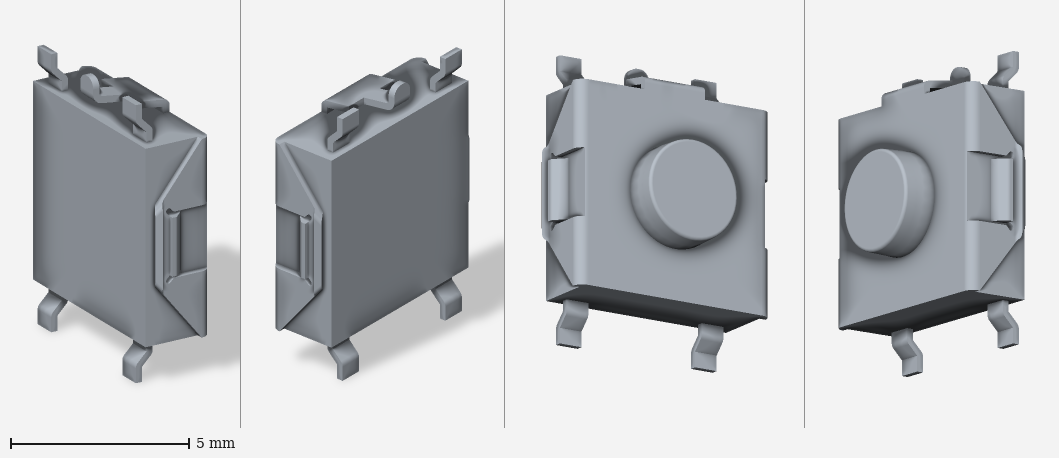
import cadquery as cq
import math


HOUSING_SIZE = 6.0
COVER_TOP = 2.03
SHEET = 0.21
HOUSING_TOP = COVER_TOP - SHEET
HALF = HOUSING_SIZE / 2
BEND_INNER = 0.1
BEND_OUTER = BEND_INNER + SHEET

WIDTH_OVER_LIPS = 6.7
LIP_X = WIDTH_OVER_LIPS / 2
WEDGE_LENGTH = 1.78
WEDGE_BOTTOM = 0.66
WEDGE_TOP = 1.17
WEDGE_RAMP_END = WEDGE_TOP - (LIP_X - HALF)
WEDGE_RADIUS = 0.135

WALL_X = HALF + SHEET
LIP_TIP_Y = 0.345
LIP_ANGLE = math.radians(30)
LIP_BEND = 0.11
LIP_CORNER = 0.13
TAPER_TOP = 1.72
TAPER_SLOPE = 1.24
WINDOW_LENGTH = 2.0
RELIEF_RADIUS = 0.08
RELIEF_Y = 0.63
RELIEF_Z = 1.05
RELIEF_LENGTH = 0.25

TOTAL_LENGTH = 8.4
END_Z = TOTAL_LENGTH / 2
FOOT_Y = -0.08
TAB_WIDTH = 2.0
TAB_NECK_WIDTH = 0.69
TAB_NECK_Y = 1.025
TAB_BEND_Z = 3.2
TAB_SLOPE = math.radians(8)
TAB_FOOT_BEND = 0.1
TAB_TIP_RADIUS = 0.3

LEAD_THICKNESS = 0.2
LEAD_WIDTH = 0.72
LEAD_X = 2.25
LEAD_EXIT_Y = 0.27
LEAD_KNEE_Z = 3.31

BUTTON_TOP = 3.015
BUTTON_BASE_RADIUS = 1.5
BUTTON_TOP_RADIUS = 1.46
BUTTON_EDGE = 0.09


def extrude_along_x(points, width):
    """Extrude a (y, z) outline along X, centred on x = 0."""
    return cq.Workplane("YZ").polyline(points).close().extrude(width / 2, both=True)


def extrude_along_z(points, length):
    """Extrude an (x, y) outline along Z, centred on z = 0."""
    return cq.Workplane("XY").polyline(points).close().extrude(length / 2, both=True)


def fillet_at(body, radius, *points):
    """Fillet the edges whose middles lie nearest to the given points."""
    for point in points:
        body = body.edges(cq.selectors.NearestToPointSelector(point)).fillet(radius)
    return body


def both_sides(half):
    """Join a half to its mirror image across the YZ plane."""
    return half.union(half.mirror("YZ"))


def make_wedge():
    """Snap wedge on the +X side with a ramp towards the top of the cover."""
    outline = [
        (HALF, WEDGE_BOTTOM),
        (LIP_X, WEDGE_BOTTOM),
        (LIP_X, WEDGE_RAMP_END),
        (HALF, WEDGE_TOP),
    ]
    wedge = extrude_along_z(outline, WEDGE_LENGTH)
    return fillet_at(wedge, WEDGE_RADIUS, (LIP_X, WEDGE_RAMP_END, 0))


def make_housing():
    block = cq.Workplane("XY").box(HOUSING_SIZE, HOUSING_TOP, HOUSING_SIZE, centered=(True, False, True))
    block = fillet_at(block, BEND_INNER, (HALF, HOUSING_TOP, 0), (-HALF, HOUSING_TOP, 0))
    return block.union(both_sides(make_wedge()))


def make_cover_side():
    """The +X half of the cover: flat top, side bend, wall and flared lip, tapered along Z."""
    reach = LIP_X - WALL_X
    bend_y = LIP_TIP_Y + reach * math.tan(LIP_ANGLE)
    edge_x = LIP_X - SHEET * math.sin(LIP_ANGLE)
    edge_y = LIP_TIP_Y - SHEET * math.cos(LIP_ANGLE)
    inner_y = edge_y + (edge_x - HALF) * math.tan(LIP_ANGLE)
    section = [
        (0, COVER_TOP),
        (WALL_X, COVER_TOP),
        (WALL_X, bend_y),
        (LIP_X, LIP_TIP_Y),
        (edge_x, edge_y),
        (HALF, inner_y),
        (HALF, HOUSING_TOP),
        (0, HOUSING_TOP),
    ]
    side = extrude_along_z(section, HOUSING_SIZE)
    side = fillet_at(side, BEND_OUTER, (WALL_X, COVER_TOP, 0))
    side = fillet_at(side, BEND_INNER, (HALF, HOUSING_TOP, 0))
    side = fillet_at(side, LIP_BEND, (WALL_X, bend_y, 0))

    tip_half = HALF - (TAPER_TOP - edge_y) * TAPER_SLOPE
    taper = [
        (COVER_TOP, HALF),
        (TAPER_TOP, HALF),
        (edge_y, tip_half),
        (edge_y, -tip_half),
        (TAPER_TOP, -HALF),
        (COVER_TOP, -HALF),
    ]
    side = side.intersect(extrude_along_x(taper, WIDTH_OVER_LIPS))
    middle_x = (LIP_X + edge_x) / 2
    middle_y = (LIP_TIP_Y + edge_y) / 2
    corner_z = HALF - (TAPER_TOP - middle_y) * TAPER_SLOPE
    return fillet_at(side, LIP_CORNER, (middle_x, middle_y, corner_z), (middle_x, middle_y, -corner_z))


def make_window():
    """Cutter for the +X wall: an opening over the wedge with a slanted relief slot at each corner."""
    height = COVER_TOP - WEDGE_BOTTOM
    depth = LIP_X - HALF
    window = cq.Workplane("XY").box(depth, height, WINDOW_LENGTH, centered=(False, False, True))
    window = window.translate((HALF, WEDGE_BOTTOM, 0))
    for side in (1, -1):
        setback = RELIEF_LENGTH / 2 * math.sin(math.radians(45))
        slot = (
            cq.Workplane("YZ", origin=(HALF, RELIEF_Y + setback, side * (RELIEF_Z - setback)))
            .slot2D(RELIEF_LENGTH + 2 * RELIEF_RADIUS, 2 * RELIEF_RADIUS, -45 * side)
            .extrude(depth)
        )
        window = window.union(slot)
    return window


def make_ground_tab():
    """Tab that leaves the cover's top at +Z, slants down past the housing and ends in a foot."""
    rise = math.tan(TAB_SLOPE)
    outer_bend_z = TAB_BEND_Z + SHEET / math.cos(TAB_SLOPE) - SHEET * rise
    foot_top = FOOT_Y + SHEET
    run = HOUSING_TOP - FOOT_Y
    lower_knee_z = TAB_BEND_Z + run * rise
    upper_knee_z = outer_bend_z + run * rise
    profile = [
        (HOUSING_TOP, HALF),
        (HOUSING_TOP, TAB_BEND_Z),
        (FOOT_Y, lower_knee_z),
        (FOOT_Y, END_Z),
        (foot_top, END_Z),
        (foot_top, upper_knee_z),
        (COVER_TOP, outer_bend_z),
        (COVER_TOP, HALF),
    ]
    tab = extrude_along_x(profile, TAB_WIDTH)
    tab = fillet_at(tab, SHEET, (0, COVER_TOP, outer_bend_z))
    tab = fillet_at(tab, TAB_FOOT_BEND, (0, foot_top, upper_knee_z))
    tab = fillet_at(tab, TAB_FOOT_BEND + SHEET, (0, FOOT_Y, lower_knee_z))

    shoulder = (TAB_WIDTH - TAB_NECK_WIDTH) / 2
    notch = cq.Workplane("XY").box(shoulder, TAB_NECK_Y - FOOT_Y, END_Z, centered=False)
    tab = tab.cut(both_sides(notch.translate((TAB_NECK_WIDTH / 2, FOOT_Y, 0))))
    return tab.faces(">Z").edges("|Y").fillet(TAB_TIP_RADIUS)


def make_cover():
    side = make_cover_side().cut(make_window())
    return both_sides(side).union(make_ground_tab())


def make_button():
    profile = [
        (COVER_TOP, 0),
        (COVER_TOP, BUTTON_BASE_RADIUS),
        (BUTTON_TOP, BUTTON_TOP_RADIUS),
        (BUTTON_TOP, 0),
    ]
    button = cq.Workplane("YZ").polyline(profile).close().revolve(360, (0, 0, 0), (1, 0, 0))
    return button.faces(">Y").edges().fillet(BUTTON_EDGE)


def make_lead(x, end):
    """Gull-wing lead at the given x; end is 1 for the +Z side and -1 for the -Z side."""
    drop = LEAD_EXIT_Y - FOOT_Y
    miter = LEAD_THICKNESS * math.tan(math.radians(22.5))
    exit_top = LEAD_EXIT_Y + LEAD_THICKNESS
    foot_top = FOOT_Y + LEAD_THICKNESS
    profile = [
        (LEAD_EXIT_Y, HALF),
        (LEAD_EXIT_Y, LEAD_KNEE_Z),
        (FOOT_Y, LEAD_KNEE_Z + drop),
        (FOOT_Y, END_Z),
        (foot_top, END_Z),
        (foot_top, LEAD_KNEE_Z + drop + miter),
        (exit_top, LEAD_KNEE_Z + miter),
        (exit_top, HALF),
    ]
    lead = extrude_along_x(profile, LEAD_WIDTH)
    outer_corners = [(0, FOOT_Y, LEAD_KNEE_Z + drop), (0, exit_top, LEAD_KNEE_Z + miter)]
    lead = fillet_at(lead, LEAD_THICKNESS, *outer_corners)
    if end < 0:
        lead = lead.mirror("XY")
    return lead.translate((x, 0, 0))


housing = make_housing()
cover = make_cover()
button = make_button()
leads = [make_lead(x, end).val() for x in (-LEAD_X, LEAD_X) for end in (1, -1)]

result = cq.Compound.makeCompound([housing.val(), cover.val(), button.val(), *leads])